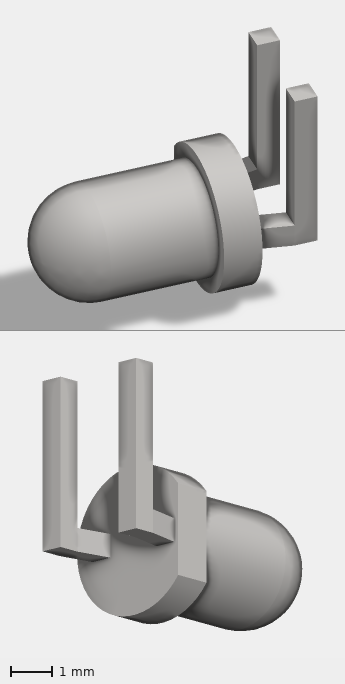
import cadquery as cq

lens_diameter = 3.0
lens_radius = lens_diameter / 2
barrel_length = 2.8

flange_diameter = 3.79
flange_thickness = 1.0
flat_x = -lens_radius

overall_length = 6.87
lead_width = 0.6
lead_spacing = 2.54
lead_root_spacing = 2.145
lead_top_z = 4.005

back_y = overall_length - barrel_length - lens_radius
bend_y = back_y - lead_width
lead_bottom_z = -lead_width / 2


def make_lens():
    """Barrel and dome, revolved about the Y axis."""
    profile = (
        cq.Workplane("XY")
        .lineTo(lens_radius, 0)
        .lineTo(lens_radius, -barrel_length)
        .radiusArc((0, -barrel_length - lens_radius), lens_radius)
        .close()
    )
    return profile.revolve(360, (0, 0, 0), (0, 1, 0))


def make_flange():
    """Disc from Y = 0 to the flange back, trimmed by the flat."""
    disc = cq.Workplane("XZ").circle(flange_diameter / 2).extrude(-flange_thickness)
    keep = cq.Workplane("XY").box(
        flange_diameter, flange_thickness, flange_diameter, centered=(False, False, True)
    )
    return disc.intersect(keep.translate((flat_x, 0, 0)))


def make_lead(side):
    """One lead on the given side of the YZ plane (-1 or +1)."""
    root_x = side * lead_root_spacing / 2
    post_x = side * lead_spacing / 2
    half = lead_width / 2
    splay = (
        cq.Workplane("XY", origin=(0, 0, lead_bottom_z))
        .polyline([
            (root_x - half, flange_thickness),
            (root_x + half, flange_thickness),
            (post_x + half, bend_y),
            (post_x - half, bend_y),
        ])
        .close()
        .extrude(lead_width)
    )
    post = (
        cq.Workplane("XY", origin=(post_x, bend_y + half, lead_bottom_z))
        .rect(lead_width, lead_width)
        .extrude(lead_top_z - lead_bottom_z)
    )
    return splay.union(post)


result = make_lens().union(make_flange())
for side in (-1, 1):
    result = result.union(make_lead(side))